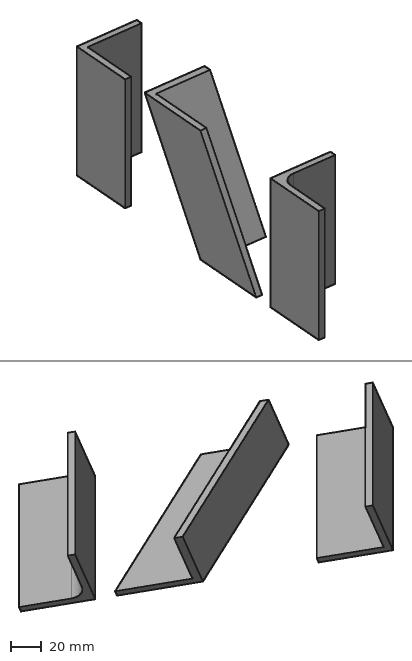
import cadquery as cq
import math

leg = 50.0
thickness = 5.0
height = 100.0

straight_x = 0.0
lean_top_x = 70.0
filleted_x = 200.0

lean_angle = math.radians(30.0)
lean_shift = height * math.tan(lean_angle)
lean_leg = leg / math.cos(lean_angle)
lean_thickness = thickness / math.cos(lean_angle)
lean_bottom_x = lean_top_x + lean_shift

inner_radius = 10.0


def make_straight_angle(corner_x):
    """Upright L section with its outer corner at corner_x, one leg along X and one along Y."""
    return (
        cq.Workplane("XY")
        .moveTo(corner_x, 0)
        .lineTo(corner_x + leg, 0)
        .lineTo(corner_x + leg, thickness)
        .lineTo(corner_x + thickness, thickness)
        .lineTo(corner_x + thickness, leg)
        .lineTo(corner_x, leg)
        .close()
        .extrude(height)
    )


def make_leaning_plate(width_x, depth_y):
    """Parallelogram in XZ that leans toward -X as it rises, thickened from Y = 0 toward +Y."""
    return (
        cq.Workplane("XZ")
        .moveTo(lean_bottom_x, 0)
        .lineTo(lean_bottom_x + width_x, 0)
        .lineTo(lean_top_x + width_x, height)
        .lineTo(lean_top_x, height)
        .close()
        .extrude(-depth_y)
    )


def make_leaning_angle():
    """L section leaning in the XZ plane, with level ends."""
    front_leg = make_leaning_plate(lean_leg, thickness)
    side_leg = make_leaning_plate(lean_thickness, leg)
    return front_leg.union(side_leg).solids()


def make_filleted_angle(corner_x):
    """Upright L section with a round in its inner corner."""
    inner_corner = cq.selectors.NearestToPointSelector(
        (corner_x + thickness, thickness, height / 2)
    )
    return make_straight_angle(corner_x).edges(inner_corner).fillet(inner_radius).solids()


straight_angle = make_straight_angle(straight_x)
leaning_angle = make_leaning_angle()
filleted_angle = make_filleted_angle(filleted_x)

result = cq.Compound.makeCompound(
    [straight_angle.val(), leaning_angle.val(), filleted_angle.val()]
)